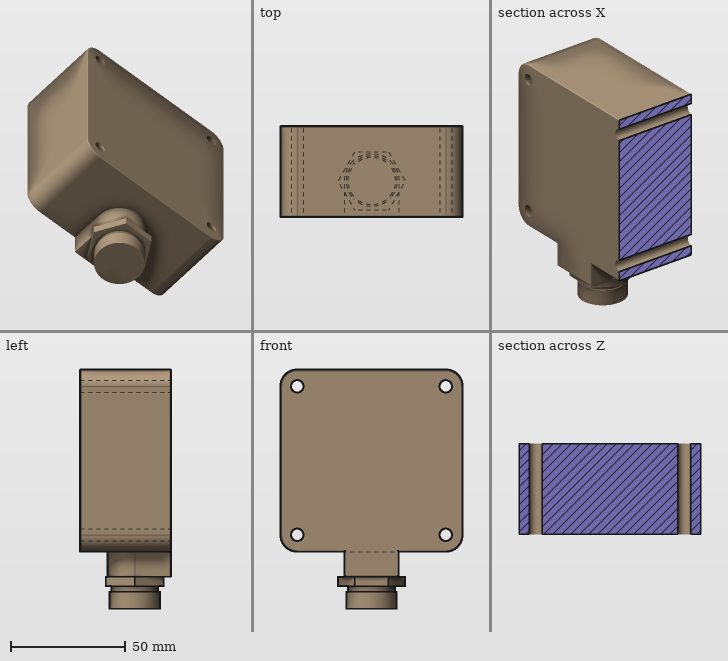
import cadquery as cq

body_side = 80.0
body_depth = 40.0
corner_radius = 7.5
edge_radius = 0.5
hole_diameter = 5.4
hole_spacing = body_side - 2 * corner_radius

overall_height = 105.0
block_width = 24.0
block_drop = 11.0
outlet_axis_y = 16.0
nut_across_corners = 29.5
nut_height = 4.0
neck_diameter = 20.8
neck_height = 2.5
cap_diameter = 22.3

body_bottom = -body_side / 2
block_bottom = body_bottom - block_drop
nut_bottom = block_bottom - nut_height
neck_bottom = nut_bottom - neck_height
cap_height = overall_height - (body_side / 2 - neck_bottom)


def make_body():
    """Rounded square housing."""
    return (
        cq.Workplane("XZ")
        .rect(body_side, body_side)
        .extrude(-body_depth)
        .edges("|Y")
        .fillet(corner_radius)
    )


def make_block():
    """Outlet block, flat at the front and half round at the back."""
    half_width = block_width / 2
    return (
        cq.Workplane("XY", origin=(0, 0, block_bottom))
        .moveTo(-half_width, 0)
        .lineTo(half_width, 0)
        .lineTo(half_width, outlet_axis_y)
        .threePointArc((0, outlet_axis_y + half_width), (-half_width, outlet_axis_y))
        .close()
        .extrude(block_drop + corner_radius)
    )


def outlet_plane(bottom):
    """Horizontal workplane centred on the outlet axis."""
    return cq.Workplane("XY", origin=(0, outlet_axis_y, bottom))


def make_gland():
    """Hexagon nut, neck and round cap, stacked on the outlet axis."""
    nut = outlet_plane(nut_bottom).polygon(6, nut_across_corners).extrude(nut_height)
    neck = outlet_plane(neck_bottom).circle(neck_diameter / 2).extrude(neck_height)
    cap = outlet_plane(neck_bottom - cap_height).circle(cap_diameter / 2).extrude(cap_height)
    return nut.union(neck).union(cap)


housing = make_body().union(make_block())
housing = housing.faces("<Y or >Y").edges().fillet(edge_radius)

holes = (
    cq.Workplane("XZ")
    .rect(hole_spacing, hole_spacing, forConstruction=True)
    .vertices()
    .circle(hole_diameter / 2)
    .extrude(-body_depth)
)

result = housing.cut(holes).union(make_gland())